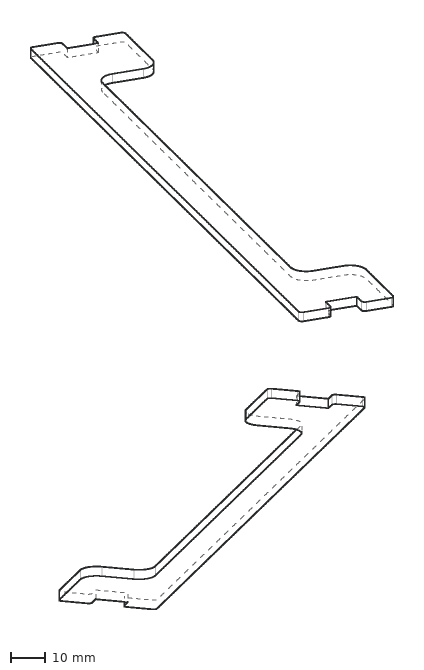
import cadquery as cq

length = 210.0
width = 30.0
thickness = 3.0

bar_width = 10.0
pad_length = 27.0
bend_radius = 5.0

notch_depth = 4.6
notch_width = width - 2 * bar_width
corner_radius = 1.0

half_length = length / 2
half_width = width / 2
pad_inner_x = half_length - pad_length
bar_back_y = bar_width - half_width


def make_box(size_x, size_y, center_x, center_y):
    """Full-thickness block centred at the given place."""
    return cq.Workplane("XY").box(size_x, size_y, thickness).translate((center_x, center_y, 0))


def round_upright_edges(body, places, radius):
    """Round the upright edges that stand at the given XY places."""
    for x, y in places:
        edge = cq.selectors.NearestToPointSelector((x, y, 0))
        body = body.edges("|Z").edges(edge).fillet(radius)
    return body


recess_length = 2 * pad_inner_x
recess_width = width - bar_width
recess_center_y = (bar_back_y + half_width) / 2
body = make_box(length, width, 0, 0)
body = body.cut(make_box(recess_length, recess_width, 0, recess_center_y))

for side in (-1, 1):
    notch_center_x = side * (half_length - notch_depth / 2)
    body = body.cut(make_box(notch_depth, notch_width, notch_center_x, 0))

for side in (-1, 1):
    bends = [(side * pad_inner_x, y) for y in (bar_back_y, half_width)]
    body = round_upright_edges(body, bends, bend_radius)

    end_corner_ys = (-half_width, -notch_width / 2, notch_width / 2, half_width)
    end_corners = [(side * half_length, y) for y in end_corner_ys]
    body = round_upright_edges(body, end_corners, corner_radius)

result = body